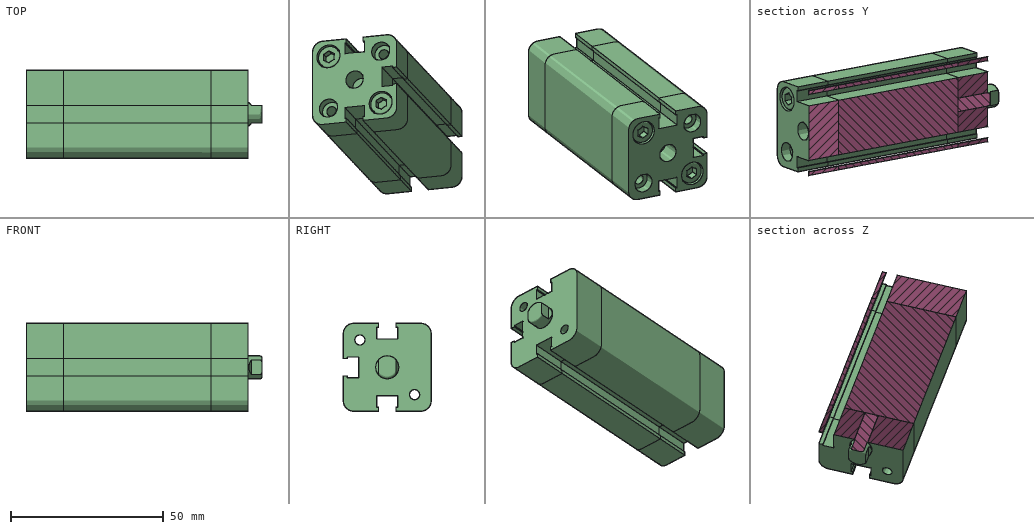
import cadquery as cq


total_length = 77.5
side = 29.0
rod_projection = 4.6
housing_length = total_length - rod_projection
cap_length = 12.2
tube_length = housing_length - 2 * cap_length
corner_radius = 3.5
tube_start = cap_length
front_cap_start = tube_start + tube_length

slot_mouth_width = 5.7
slot_inner_width = 6.75
slot_lip = 1.4
slot_depth = 5.1
slot_angles = (0, 90, 180)

hole_offset = 9.0
mounting_places = ((-hole_offset, hole_offset), (hole_offset, -hole_offset))
screw_places = ((hole_offset, hole_offset), (-hole_offset, -hole_offset))
mounting_hole_diameter = 3.25
counterbore_diameter = 6.2
counterbore_depth = 3.5

centring_diameter = 6.0
centring_depth = 7.75

recess_diameter = 7.9
recess_depth = 4.0
head_diameter = 7.4
head_setback = 0.5
head_fillet = 0.5
hex_flats = 3.6
hex_depth = 2.8

rod_diameter = 7.6
rod_end_fillet = 0.7
rod_flats = 5.9
flat_ramp_start = 0.2


def across(x):
    """Plane at a given X that faces +X, with local axes Y and Z."""
    return cq.Workplane("YZ", origin=(x, 0, 0))


def round_bar(x, y, z, diameter, length):
    """Cylinder that runs from x toward +X."""
    return across(x).center(y, z).circle(diameter / 2).extrude(length)


def slot_cutter(x, length):
    """T-slot cutter for the top side."""
    top = side / 2
    floor = top - slot_depth
    cutter = across(x).center(0, top - slot_lip / 2).rect(slot_mouth_width, slot_lip).extrude(length)
    inner_height = slot_depth - slot_lip
    inner = across(x).center(0, floor + inner_height / 2).rect(slot_inner_width, inner_height).extrude(length)
    return cutter.union(inner)


def profile_section(x, length):
    """Piece of the housing profile with its slots and through mounting holes."""
    section = across(x).rect(side, side).extrude(length).edges("|X").fillet(corner_radius)
    for angle in slot_angles:
        section = section.cut(slot_cutter(x, length).rotate((0, 0, 0), (1, 0, 0), angle))
    for y, z in mounting_places:
        section = section.cut(round_bar(x, y, z, mounting_hole_diameter, length))
    return section


def screw_head(y, z):
    """Rounded head with a hexagon socket, standing in its recess."""
    head = round_bar(head_setback, y, z, head_diameter, recess_depth - head_setback)
    head = head.faces("<X").edges().fillet(head_fillet)
    socket = across(head_setback).center(y, z).polygon(6, hex_flats, circumscribed=True).extrude(hex_depth)
    return head.cut(socket)


def make_rear_cap():
    cap = profile_section(0, cap_length)
    cap = cap.cut(round_bar(0, 0, 0, centring_diameter, centring_depth))
    for y, z in mounting_places:
        cap = cap.cut(round_bar(0, y, z, counterbore_diameter, counterbore_depth))
    for y, z in screw_places:
        cap = cap.cut(round_bar(0, y, z, recess_diameter, recess_depth))
        cap = cap.union(screw_head(y, z))
    return cap


def make_front_cap():
    cap = profile_section(front_cap_start, cap_length)
    return cap.cut(round_bar(front_cap_start, 0, 0, rod_diameter, cap_length))


def make_rod():
    rod = round_bar(front_cap_start, 0, 0, rod_diameter, cap_length + rod_projection)
    rod = rod.faces(">X").edges().fillet(rod_end_fillet)
    flat = rod_flats / 2
    radius = rod_diameter / 2
    ramp_foot = housing_length + flat_ramp_start
    flat_cutter = (
        cq.Workplane("XY", origin=(0, 0, -radius))
        .moveTo(ramp_foot, radius)
        .lineTo(ramp_foot + radius - flat, flat)
        .lineTo(total_length, flat)
        .lineTo(total_length, radius)
        .close()
        .extrude(2 * radius)
    )
    return rod.cut(flat_cutter).cut(flat_cutter.mirror("XZ"))


rear_cap = make_rear_cap()
tube = profile_section(tube_start, tube_length)
front_cap = make_front_cap()
rod = make_rod()

result = cq.Compound.makeCompound([rear_cap.val(), tube.val(), front_cap.val(), rod.val()])